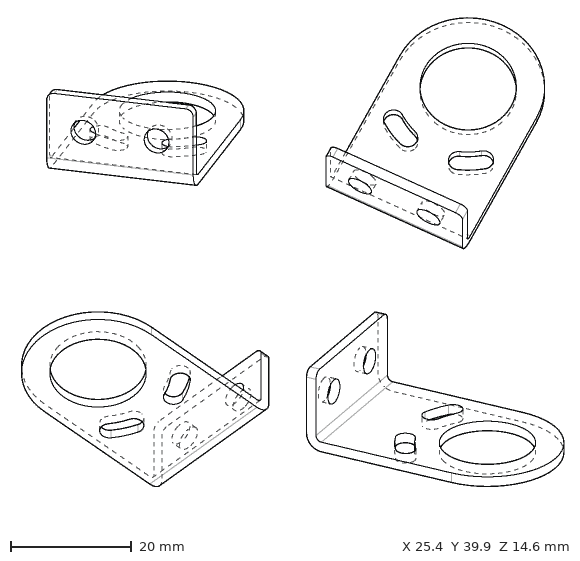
import cadquery as cq
import math

width = 25.4
length = 39.93
height = 14.55

thickness = 1.8
inner_bend_radius = 1.0
outer_bend_radius = inner_bend_radius + thickness
flange_corner_radius = 1.3

end_radius = width / 2
opening_diameter = 15.97

slot_width = 3.3
slot_path_radius = 13.75
slot_start_angle = 20.0
slot_end_angle = 37.5

mount_hole_diameter = 4.27
mount_hole_spacing = width / 2
mount_hole_height = 8.15

flange_front = end_radius - length
flange_back = flange_front + thickness
bend_axis_y = flange_front + outer_bend_radius
bend_axis_z = outer_bend_radius


def bend_point(radius):
    """Point (Y, Z) halfway around the bend at the given radius."""
    offset = radius * math.sqrt(0.5)
    return (bend_axis_y - offset, bend_axis_z - offset)


def bent_sheet():
    """L-shaped side profile extruded across the full width."""
    return (
        cq.Workplane("YZ")
        .moveTo(end_radius, 0)
        .lineTo(bend_axis_y, 0)
        .threePointArc(bend_point(outer_bend_radius), (flange_front, bend_axis_z))
        .lineTo(flange_front, height)
        .lineTo(flange_back, height)
        .lineTo(flange_back, bend_axis_z)
        .threePointArc(bend_point(inner_bend_radius), (bend_axis_y, thickness))
        .lineTo(end_radius, thickness)
        .close()
        .extrude(width / 2, both=True)
    )


def base_outline():
    """Plan outline with a semicircular far end, as a full-height solid."""
    return (
        cq.Workplane("XY")
        .moveTo(-end_radius, flange_front)
        .lineTo(end_radius, flange_front)
        .lineTo(end_radius, 0)
        .threePointArc((0, end_radius), (-end_radius, 0))
        .close()
        .extrude(height)
    )


def polar_point(radius, angle):
    """Point at an angle in degrees from -Y, turning toward +X."""
    turn = math.radians(angle)
    return (radius * math.sin(turn), -radius * math.cos(turn))


def curved_slot(side):
    """Round-ended slot cutter; side is +1 for the +X slot and -1 for the -X slot."""
    cap_radius = slot_width / 2
    inner_radius = slot_path_radius - cap_radius
    outer_radius = slot_path_radius + cap_radius
    start = side * slot_start_angle
    end = side * slot_end_angle
    middle = (start + end) / 2

    tip_radius = math.hypot(slot_path_radius, cap_radius)
    tip_turn = side * math.degrees(math.atan2(cap_radius, slot_path_radius))
    start_tip = polar_point(tip_radius, start - tip_turn)
    end_tip = polar_point(tip_radius, end + tip_turn)

    return (
        cq.Workplane("XY")
        .moveTo(*polar_point(inner_radius, start))
        .threePointArc(polar_point(inner_radius, middle), polar_point(inner_radius, end))
        .threePointArc(end_tip, polar_point(outer_radius, end))
        .threePointArc(polar_point(outer_radius, middle), polar_point(outer_radius, start))
        .threePointArc(start_tip, polar_point(inner_radius, start))
        .close()
        .extrude(thickness)
    )


def mount_holes():
    """Pair of cylinders along Y through the upright flange."""
    return (
        cq.Workplane("XZ", origin=(0, flange_back, mount_hole_height))
        .rarray(mount_hole_spacing, 0.4, 2, 1)
        .circle(mount_hole_diameter / 2)
        .extrude(thickness)
    )


blank = bent_sheet().faces(">Z").edges("|Y").fillet(flange_corner_radius)
blank = blank.intersect(base_outline())

opening = cq.Workplane("XY").circle(opening_diameter / 2).extrude(thickness)
result = blank.cut(opening).cut(mount_holes())
for side in (-1, 1):
    result = result.cut(curved_slot(side))